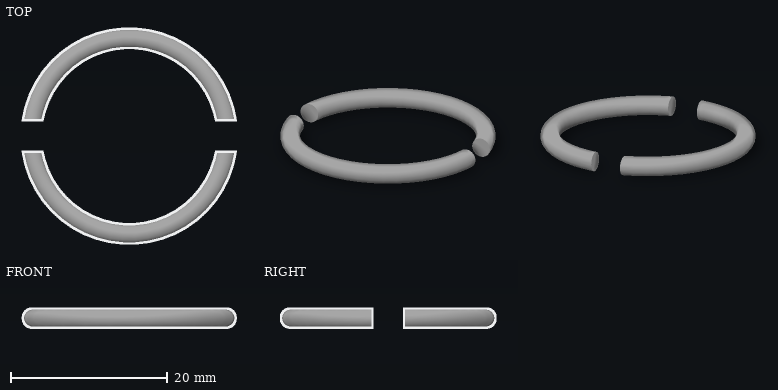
import cadquery as cq

outer_diameter = 27.5
wire_diameter = 2.5
gap_width = 4.0

wire_radius = wire_diameter / 2
centerline_radius = outer_diameter / 2 - wire_radius

trim_size = 2 * outer_diameter


def half_ring(side):
    """Half of the ring on the +Y (side = 1) or -Y (side = -1) side of the gap."""
    ring = cq.Workplane(cq.Solid.makeTorus(centerline_radius, wire_radius))
    trim_center_y = side * (gap_width + trim_size) / 2
    trim_block = cq.Workplane("XY").box(trim_size, trim_size, trim_size)
    trim_block = trim_block.translate((0, trim_center_y, 0))
    return ring.intersect(trim_block).solids()


half_rings = [half_ring(side) for side in (1, -1)]

result = cq.Compound.makeCompound([half.val() for half in half_rings])